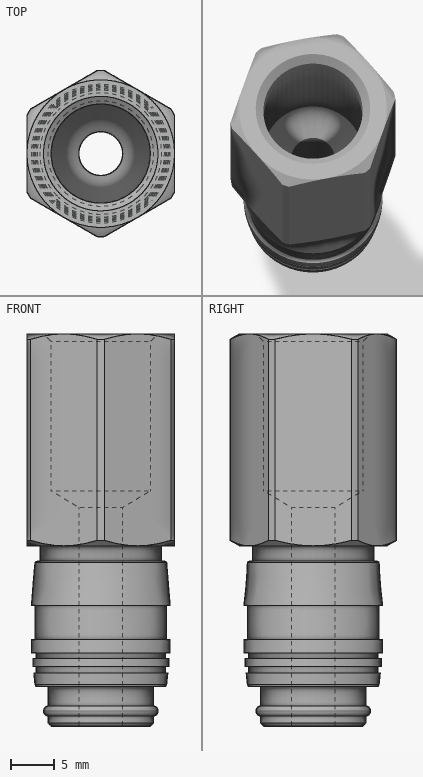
import cadquery as cq
import math

total_length = 45.2
hex_bottom = 20.8
across_flats = 17.0
across_corners = 19.15
end_chamfer_angle = math.radians(30)

neck_diameter = 14.0
body_diameter = 15.2
collar_diameter = 16.0
middle_ring_diameter = 15.7
lower_ring_diameter = 15.45
groove_diameter = 14.9
stem_diameter = 12.15

stem_chamfer = 0.4
lower_ring_bottom = 4.55
lower_ring_top = 6.15
middle_ring_bottom = 6.85
middle_ring_top = 7.8
upper_ring_bottom = 8.45
upper_ring_top = 10.0
collar_bottom = 13.9
collar_top = 19.05
edge_chamfer_height = 0.25
edge_chamfer_width = 0.15
collar_edge_height = 0.15
collar_edge_width = 0.25

seal_center_height = 1.75
seal_section_radius = 0.6
seal_outer_diameter = 13.2

bore_diameter = 11.45
mouth_diameter = 13.2
bore_depth = 18.1
through_diameter = 5.0
drill_tip_angle = math.radians(118)


def revolve_profile(points):
    """Revolve a closed (radius, height) outline around the Z axis."""
    outline = cq.Workplane("XZ").polyline(points).close()
    return outline.revolve(360, (0, 0, 0), (0, 1, 0))


def make_hex_head():
    """Hexagon with flats facing X, rounded corners and both ends chamfered."""
    head_length = total_length - hex_bottom
    corner_to_corner = across_flats / math.cos(math.radians(30))
    prism = (
        cq.Workplane("XY", origin=(0, 0, hex_bottom))
        .polygon(6, corner_to_corner)
        .extrude(head_length)
        .rotate((0, 0, 0), (0, 0, 1), 30)
    )
    face_radius = across_flats / 2
    corner_radius = across_corners / 2
    chamfer_height = (corner_radius - face_radius) * math.tan(end_chamfer_angle)
    envelope = revolve_profile([
        (0, hex_bottom),
        (face_radius, hex_bottom),
        (corner_radius, hex_bottom + chamfer_height),
        (corner_radius, total_length - chamfer_height),
        (face_radius, total_length),
        (0, total_length),
    ])
    return prism.intersect(envelope)


def make_plug_body():
    """Stepped plug with a tapered collar, three rings and a chamfered stem."""
    neck = neck_diameter / 2
    body = body_diameter / 2
    collar = collar_diameter / 2
    middle_ring = middle_ring_diameter / 2
    lower_ring = lower_ring_diameter / 2
    groove = groove_diameter / 2
    stem = stem_diameter / 2
    return revolve_profile([
        (0, 0),
        (stem - stem_chamfer, 0),
        (stem, stem_chamfer),
        (stem, lower_ring_bottom),
        (body - edge_chamfer_width, lower_ring_bottom),
        (body, lower_ring_bottom + edge_chamfer_height),
        (lower_ring, lower_ring_top),
        (groove, lower_ring_top),
        (groove, middle_ring_bottom),
        (middle_ring, middle_ring_bottom),
        (middle_ring, middle_ring_top),
        (groove, middle_ring_top),
        (groove, upper_ring_bottom),
        (collar, upper_ring_bottom),
        (collar, upper_ring_top),
        (body, upper_ring_top),
        (body, collar_bottom),
        (collar, collar_bottom),
        (body, collar_top - collar_edge_height),
        (body - collar_edge_width, collar_top),
        (neck, collar_top),
        (neck, hex_bottom),
        (0, hex_bottom),
    ])


def make_seal_ring():
    """Round-section ring partly sunk into the stem."""
    section_center = seal_outer_diameter / 2 - seal_section_radius
    return (
        cq.Workplane("XZ")
        .center(section_center, seal_center_height)
        .circle(seal_section_radius)
        .revolve(360, (-section_center, 0, 0), (-section_center, 1, 0))
    )


def make_bore():
    """Countersunk blind bore whose conical floor runs into a through hole."""
    bore = bore_diameter / 2
    mouth = mouth_diameter / 2
    through = through_diameter / 2
    countersink_depth = mouth - bore
    floor_edge = total_length - bore_depth
    floor_drop = (bore - through) / math.tan(drill_tip_angle / 2)
    return revolve_profile([
        (0, 0),
        (through, 0),
        (through, floor_edge - floor_drop),
        (bore, floor_edge),
        (bore, total_length - countersink_depth),
        (mouth, total_length),
        (0, total_length),
    ])


result = (
    make_hex_head()
    .union(make_plug_body())
    .union(make_seal_ring())
    .cut(make_bore())
)